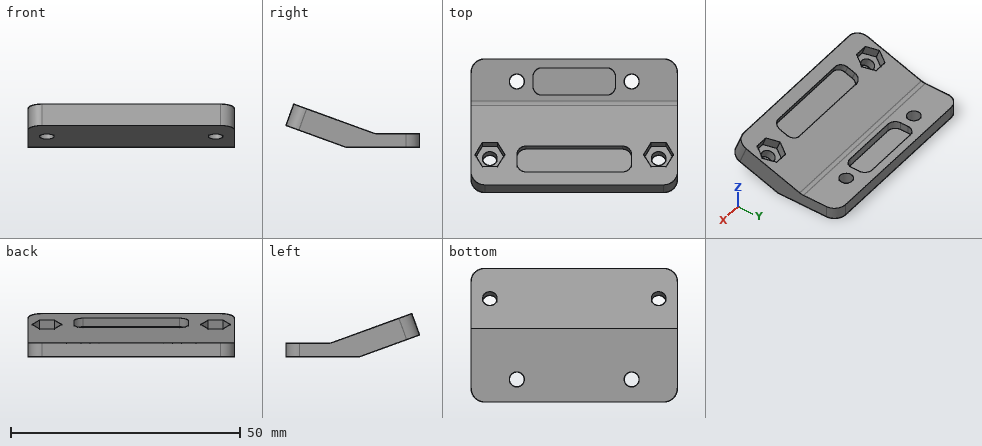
import cadquery as cq
import math

WIDTH = 45
CORNER_RADIUS = 3.0
BEND_ANGLE = 20
BEND_FILLET_RADIUS = 3.0

LEVEL_LENGTH = 16.0
LEVEL_THICKNESS = 3.0
TILTED_LENGTH = 14.0
TILTED_THICKNESS = 5.0

HOLE_DIAMETER = 3.2
POCKET_DEPTH = 2.0
POCKET_CORNER_RADIUS = 2.0
POCKET_BREADTH = 6.0

LEVEL_POCKET_LENGTH = 18
LEVEL_FEATURES_FROM_EDGE = 4.95
LEVEL_HOLE_SPACING = 25.0

TILTED_POCKET_LENGTH = 25.0
TILTED_POCKET_FROM_EDGE = 6.0
NUT_HOLE_SPACING = 36.75
NUT_HOLE_FROM_EDGE = 7.0
NUT_ACROSS_CORNERS = 6.5
NUT_DEPTH = 2.5

sine = math.sin(math.radians(BEND_ANGLE))
cosine = math.cos(math.radians(BEND_ANGLE))

tip_bottom = (-TILTED_LENGTH * cosine, TILTED_LENGTH * sine)
tip_top = (tip_bottom[0] + TILTED_THICKNESS * sine, tip_bottom[1] + TILTED_THICKNESS * cosine)
top_bend = (tip_top[0] + (tip_top[1] - LEVEL_THICKNESS) * cosine / sine, LEVEL_THICKNESS)

level_top = cq.Plane(origin=(0, LEVEL_LENGTH, LEVEL_THICKNESS), xDir=(-1, 0, 0), normal=(0, 0, 1))
tilted_top = cq.Plane(origin=(0, *tip_top), xDir=(1, 0, 0), normal=(0, sine, cosine))


def bent_plate():
    profile = [(0, 0), (LEVEL_LENGTH, 0), (LEVEL_LENGTH, LEVEL_THICKNESS), top_bend, tip_top, tip_bottom]
    plate = cq.Workplane("YZ").polyline(profile).close().extrude(WIDTH / 2, both=True)
    bend_edge = cq.selectors.NearestToPointSelector((0, *top_bend))
    plate = plate.edges(bend_edge).fillet(BEND_FILLET_RADIUS)
    plate = plate.faces(">Y").edges("|Z").fillet(CORNER_RADIUS)
    tip_center = (0, (tip_bottom[0] + tip_top[0]) / 2, (tip_bottom[1] + tip_top[1]) / 2)
    tip_face = cq.selectors.NearestToPointSelector(tip_center)
    return plate.faces(tip_face).edges("not |X").fillet(CORNER_RADIUS)


def pocket(plane, length, from_edge):
    block = cq.Workplane(plane).center(0, from_edge).rect(length, POCKET_BREADTH).extrude(-POCKET_DEPTH)
    return block.edges(cq.selectors.ParallelDirSelector(plane.zDir)).fillet(POCKET_CORNER_RADIUS)


def at_pair(plane, spacing, from_edge):
    return cq.Workplane(plane).pushPoints([(side * spacing / 2, from_edge) for side in (-1, 1)])


def level_holes():
    holes = at_pair(level_top, LEVEL_HOLE_SPACING, LEVEL_FEATURES_FROM_EDGE)
    return holes.circle(HOLE_DIAMETER / 2).extrude(-LEVEL_THICKNESS)


def nut_holes():
    centers = at_pair(tilted_top, NUT_HOLE_SPACING, NUT_HOLE_FROM_EDGE)
    bores = centers.circle(HOLE_DIAMETER / 2).extrude(-TILTED_THICKNESS)
    return bores.union(centers.polygon(6, NUT_ACROSS_CORNERS).extrude(-NUT_DEPTH))


result = (
    bent_plate()
    .cut(pocket(level_top, LEVEL_POCKET_LENGTH, LEVEL_FEATURES_FROM_EDGE))
    .cut(level_holes())
    .cut(pocket(tilted_top, TILTED_POCKET_LENGTH, TILTED_POCKET_FROM_EDGE))
    .cut(nut_holes())
)